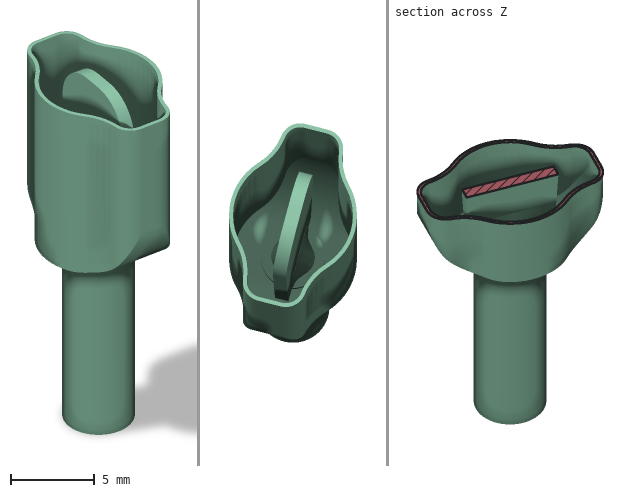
import cadquery as cq
import math

total_height = 24.13
cup_length = 11.17
cup_width = 7.63
half_length = cup_length / 2
half_width = cup_width / 2

cup_height = 11.41
wall = 0.25
belly_radius = half_width
flank_radius = 3.5
corner_radius = 1.2
end_flat_half_width = 0.7
bottom_radius = 3.81

stem_radius = 2.17
boss_radius = 1.9
boss_height = 0.25

paddle_thickness = 0.82
paddle_length = 6.4
paddle_half_length = paddle_length / 2
paddle_top_half_flat = 0.63
paddle_foot_half_length = 2.65

swell_half_width = 1.3
swell_half_length = 1.8
swell_foot_thickness = 0.97
swell_top_half_width = 0.43
swell_height = 1.93

cup_bottom = total_height - cup_height
floor_level = cup_bottom + wall
boss_top = floor_level + boss_height


def cup_outline():
    """Four-lobed outline whose neighbouring arcs are tangent."""
    corner_x = half_length - corner_radius
    corner_y = end_flat_half_width

    belly_reach = belly_radius + flank_radius
    corner_reach = corner_radius + flank_radius
    corner_distance = math.hypot(corner_x, corner_y)
    cosine = (belly_reach**2 + corner_distance**2 - corner_reach**2) / (2 * belly_reach * corner_distance)
    flank_angle = math.atan2(corner_y, corner_x) + math.acos(cosine)
    flank_x = belly_reach * math.cos(flank_angle)
    flank_y = belly_reach * math.sin(flank_angle)

    belly_x = belly_radius * math.cos(flank_angle)
    belly_y = belly_radius * math.sin(flank_angle)
    share = corner_radius / corner_reach
    shoulder_x = corner_x + share * (flank_x - corner_x)
    shoulder_y = corner_y + share * (flank_y - corner_y)

    return (
        cq.Workplane("XY").workplane(offset=cup_bottom)
        .moveTo(half_length, -end_flat_half_width)
        .lineTo(half_length, end_flat_half_width)
        .radiusArc((shoulder_x, shoulder_y), -corner_radius)
        .radiusArc((belly_x, belly_y), flank_radius)
        .threePointArc((0, half_width), (-belly_x, belly_y))
        .radiusArc((-shoulder_x, shoulder_y), flank_radius)
        .radiusArc((-half_length, end_flat_half_width), -corner_radius)
        .lineTo(-half_length, -end_flat_half_width)
        .radiusArc((-shoulder_x, -shoulder_y), -corner_radius)
        .radiusArc((-belly_x, -belly_y), flank_radius)
        .threePointArc((0, -half_width), (belly_x, -belly_y))
        .radiusArc((shoulder_x, -shoulder_y), flank_radius)
        .radiusArc((half_length, -end_flat_half_width), -corner_radius)
        .close()
    )


def rounded_cup(inset):
    """Cup body with rounded lower ends, shrunk on all sides by inset."""
    outline = cup_outline()
    if inset:
        outline = outline.offset2D(-inset)
    body = outline.extrude(cup_height)
    side_profile = (
        cq.Workplane("XZ")
        .center(0, cup_bottom + inset + cup_height / 2)
        .rect(2 * (half_length - inset), cup_height)
        .extrude(half_width, both=True)
        .edges("|Y and <Z").fillet(bottom_radius - inset)
    )
    return body.intersect(side_profile)


def paddle():
    """Flat upright blade with quarter-round shoulders."""
    shoulder_radius = paddle_half_length - paddle_top_half_flat
    shoulder_level = total_height - shoulder_radius
    foot_level = cup_bottom + wall / 2
    return (
        cq.Workplane("XZ")
        .moveTo(-paddle_foot_half_length, foot_level)
        .lineTo(paddle_foot_half_length, foot_level)
        .lineTo(paddle_half_length, shoulder_level)
        .radiusArc((paddle_top_half_flat, total_height), -shoulder_radius)
        .lineTo(-paddle_top_half_flat, total_height)
        .radiusArc((-paddle_half_length, shoulder_level), -shoulder_radius)
        .close()
        .extrude(paddle_thickness / 2, both=True)
    )


def swell_section(level, crest, foot):
    """Closed bell-shaped section, crest and foot being half widths in Y."""
    along = (1, 0)
    back = (-1, 0)
    return (
        cq.Workplane("XY").workplane(offset=level)
        .moveTo(-swell_half_length, foot)
        .spline([(0, crest)], tangents=[along, along], includeCurrent=True)
        .spline([(swell_half_length, foot)], tangents=[along, along], includeCurrent=True)
        .lineTo(swell_half_length, -foot)
        .spline([(0, -crest)], tangents=[back, back], includeCurrent=True)
        .spline([(-swell_half_length, -foot)], tangents=[back, back], includeCurrent=True)
        .close()
        .val()
    )


def swell():
    """Bell-shaped thickening that fades into the paddle faces."""
    base = swell_section(boss_top, swell_half_width, swell_foot_thickness / 2)
    top = swell_section(boss_top + swell_height, swell_top_half_width, paddle_thickness / 2)
    return cq.Workplane(cq.Solid.makeLoft([base, top], True))


cup = rounded_cup(0).cut(rounded_cup(wall))
stem = cq.Workplane("XY").circle(stem_radius).extrude(cup_bottom + wall / 2)
boss = (
    cq.Workplane("XY").workplane(offset=cup_bottom)
    .circle(boss_radius)
    .extrude(wall + boss_height)
)
result = cup.union(stem).union(boss).union(paddle()).union(swell())